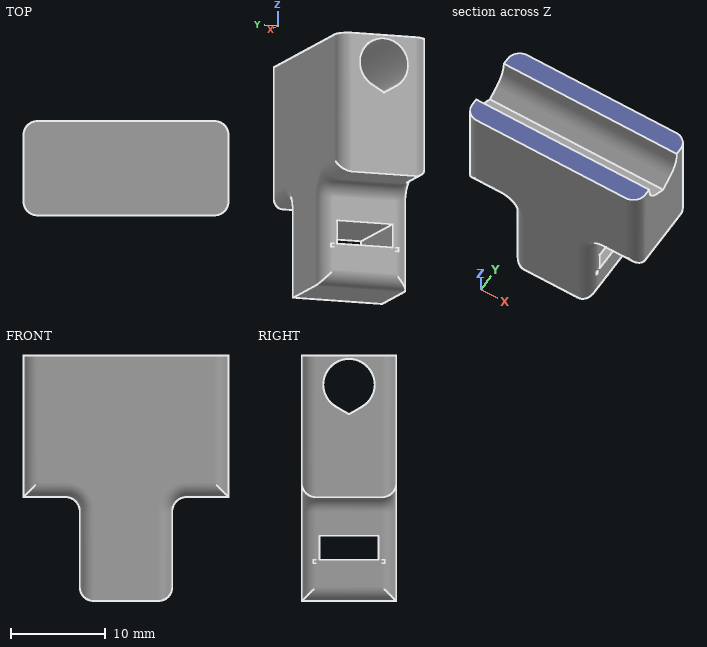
import cadquery as cq
import math

head_width = 21.7
depth = 10.0
height = 26.0
head_height = 15.0
tail_width = 9.8
round_radius = 1.5

hole_diameter = 5.4
hole_below_top = 3.1
teardrop_angle = 30.0

window_width = 6.25
window_height = 2.5
window_bottom = 4.4

layer_width = 7.6
layer_thickness = 0.4

shoulder_z = height - head_height


def box_on_axis(width, length, tall, bottom):
    """Box centred on the Z axis, with its underside at the given height."""
    return cq.Workplane("XY", origin=(0, 0, bottom)).box(width, length, tall, centered=(True, True, False))


def make_body():
    head = box_on_axis(head_width, depth, head_height, shoulder_z)
    tail = box_on_axis(tail_width, depth, shoulder_z, 0)
    body = head.union(tail)

    shoulder_corners = cq.selectors.BoxSelector(
        (-tail_width / 2 - 0.25, -depth, shoulder_z - 0.25),
        (tail_width / 2 + 0.25, depth, shoulder_z + 0.25),
    )
    body = body.edges("|Y").edges(shoulder_corners).fillet(round_radius)

    rounded_edges = body.faces("<Y or >Y").edges("not(<Z or >Z)")
    body = body.newObject(rounded_edges.vals()).fillet(round_radius)

    tail_end = box_on_axis(tail_width, depth, shoulder_z, 0).edges("|Y and <Z").fillet(round_radius)
    envelope = tail_end.union(box_on_axis(head_width, depth, height - shoulder_z / 2, shoulder_z / 2))
    return body.intersect(envelope)


def make_teardrop():
    """Circular hole whose lower side runs along two tangents to a point."""
    radius = hole_diameter / 2
    angle = math.radians(teardrop_angle)
    center_z = height - hole_below_top
    tangent_y = radius * math.sin(angle)
    tangent_z = center_z - radius * math.cos(angle)
    point_z = center_z - radius / math.cos(angle)
    return (
        cq.Workplane("YZ")
        .moveTo(0, point_z)
        .lineTo(tangent_y, tangent_z)
        .threePointArc((0, center_z + radius), (-tangent_y, tangent_z))
        .close()
        .extrude(head_width, both=True)
    )


window = box_on_axis(head_width, window_width, window_height, window_bottom)
layer = box_on_axis(tail_width, layer_width, layer_thickness, window_bottom - layer_thickness)

result = make_body().union(layer).cut(make_teardrop()).cut(window)